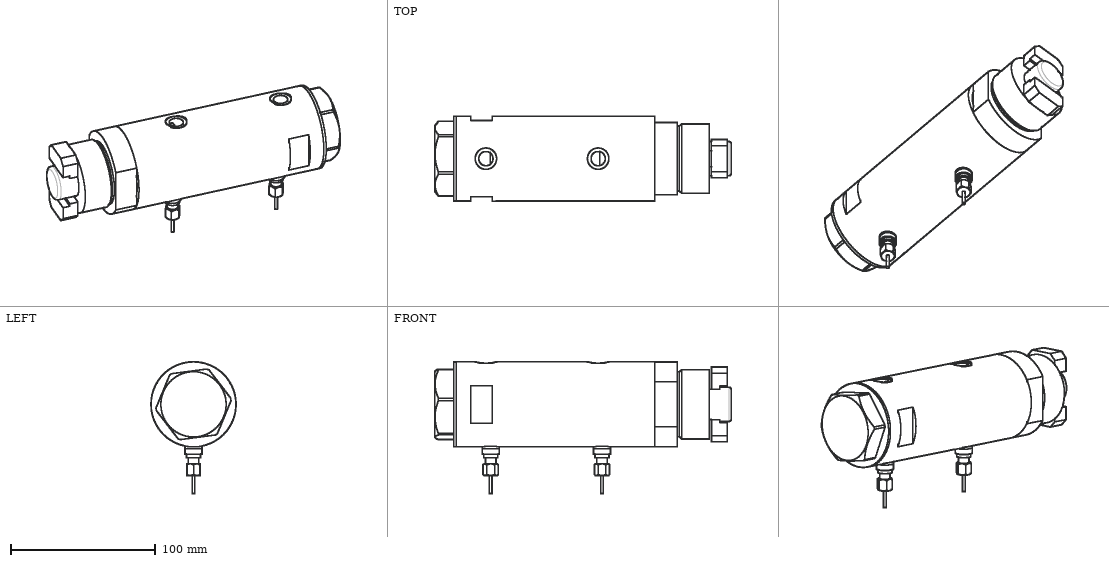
import cadquery as cq
import math

LENGTH = 205.5
BODY_DIAMETER = 59.0
BODY_RADIUS = BODY_DIAMETER / 2

FLANGE_START = 13.1
HOUSING_START = 15.0
HOUSING_END = 152.5
PLUG_SPIGOT_END = 38.6
HEAD_SPIGOT_START = 114.2
HEAD_FLANGE_END = 168.0
NOSE_END = 190.2

BORE_RADIUS = 20.0
FIRST_PORT_X = 35.5
PORT_SPACING = 77.6
PORT_RADIUS = 5.0
SPOTFACE_RADIUS = 7.4
SPOTFACE_HEIGHT = 28.3
HOUSING_FLAT_START = 25.0
HOUSING_FLAT_LENGTH = 14.8
HOUSING_FLAT_WIDTH = 53.0

HEX_ACROSS_FLATS = 46.0
HEX_CORNER_RADIUS = 26.0
HEX_FACE_RADIUS = 22.5
HEX_CHAMFER_LENGTH = 2.7
HEX_ANGLE = 7.5

HEAD_SPIGOT_RADIUS = 25.9
HEAD_FLAT_WIDTH = 50.1
NOSE_RADIUS = 24.0
UNDERCUT_RADIUS = 22.5
UNDERCUT_LENGTH = 1.5

ROD_RADIUS = 12.0
ROD_TIP_ROUND = 1.8
ROD_FLAT_WIDTH = 21.2
ROD_FLAT_HEIGHT = ROD_FLAT_WIDTH / 2
ROD_FLAT_END = 197.5
JAW_START = 191.5
JAW_END = 202.5
JAW_WIDTH = 26.5
JAW_SPAN = 52.0
JAW_TOP = JAW_SPAN / 2
JAW_CHAMFER = 4.3
JAW_RELIEF_HEIGHT = 12.5

FIRST_SENSOR_X = 38.8
SENSOR_SPACING = 77.0
TOTAL_HEIGHT = 91.2
BOSS_RADIUS = 6.0
BOSS_BOTTOM = -30.6
COLLAR_BOTTOM = -34.5
STEP_RADIUS = 5.0
STEP_BOTTOM = -37.0
NECK_RADIUS = 3.7
NUT_TOP = -41.0
NUT_BOTTOM = -49.3
NUT_ACROSS_FLATS = 9.2
NUT_CHAMFER = 0.8
CABLE_RADIUS = 1.0
CABLE_BOTTOM = BODY_RADIUS - TOTAL_HEIGHT

PORT_X = (FIRST_PORT_X, FIRST_PORT_X + PORT_SPACING)
SENSOR_X = (FIRST_SENSOR_X, FIRST_SENSOR_X + SENSOR_SPACING)


def rod_along_x(radius, start, end):
    """Cylinder on the X axis between two x positions."""
    return cq.Workplane("YZ").workplane(offset=start).circle(radius).extrude(end - start)


def post_along_z(x, radius, bottom, top):
    """Upright cylinder at x between two heights."""
    return cq.Workplane("XY", origin=(x, 0, bottom)).circle(radius).extrude(top - bottom)


def revolve_about_x(points):
    """Solid turned about X from (x, radius) points."""
    return cq.Workplane("XY").polyline(points).close().revolve(360, (0, 0, 0), (1, 0, 0))


def slab(start, end, width, bottom, top):
    """Block centred on y = 0 between two x positions and two heights."""
    corner = cq.Workplane("XY", origin=(start, 0, bottom))
    return corner.box(end - start, width, top - bottom, centered=(False, True, False))


def outside_flats(start, end, width):
    """The two side pieces that leave parallel flats at y = +-width / 2."""
    return rod_along_x(LENGTH, start, end).cut(slab(start, end, width, -LENGTH, LENGTH))


def hexagon_diameter(across_flats):
    """Diameter of the circle through a hexagon's corners."""
    return across_flats / math.cos(math.radians(30))


def make_housing():
    housing = rod_along_x(BODY_RADIUS, HOUSING_START, HOUSING_END)
    for x in SENSOR_X:
        housing = housing.union(post_along_z(x, BOSS_RADIUS, BOSS_BOTTOM, -BORE_RADIUS))
    housing = housing.cut(rod_along_x(BORE_RADIUS, HOUSING_START, HOUSING_END))
    housing = housing.cut(rod_along_x(HEAD_SPIGOT_RADIUS, HEAD_SPIGOT_START, HOUSING_END))
    for x in PORT_X:
        housing = housing.cut(post_along_z(x, PORT_RADIUS, 0, BODY_RADIUS))
        housing = housing.cut(post_along_z(x, SPOTFACE_RADIUS, SPOTFACE_HEIGHT, BODY_RADIUS))
    flat_end = HOUSING_FLAT_START + HOUSING_FLAT_LENGTH
    return housing.cut(outside_flats(HOUSING_FLAT_START, flat_end, HOUSING_FLAT_WIDTH))


def make_plug():
    hexagon = (
        cq.Workplane("YZ")
        .polygon(6, hexagon_diameter(HEX_ACROSS_FLATS))
        .extrude(FLANGE_START)
        .rotate((0, 0, 0), (1, 0, 0), -HEX_ANGLE)
    )
    chamfered_blank = revolve_about_x(
        [
            (0, 0),
            (0, HEX_FACE_RADIUS),
            (HEX_CHAMFER_LENGTH, HEX_CORNER_RADIUS),
            (FLANGE_START, HEX_CORNER_RADIUS),
            (FLANGE_START, 0),
        ]
    )
    flange = rod_along_x(BODY_RADIUS, FLANGE_START, HOUSING_START)
    spigot = rod_along_x(BORE_RADIUS, HOUSING_START, PLUG_SPIGOT_END)
    round_part = flange.union(spigot)
    return hexagon.intersect(chamfered_blank).union(round_part)


def make_head():
    undercut_end = HEAD_FLANGE_END + UNDERCUT_LENGTH
    nose_start = undercut_end + NOSE_RADIUS - UNDERCUT_RADIUS
    head = revolve_about_x(
        [
            (HEAD_SPIGOT_START, ROD_RADIUS),
            (HEAD_SPIGOT_START, HEAD_SPIGOT_RADIUS),
            (HOUSING_END, HEAD_SPIGOT_RADIUS),
            (HOUSING_END, BODY_RADIUS),
            (HEAD_FLANGE_END, BODY_RADIUS),
            (HEAD_FLANGE_END, UNDERCUT_RADIUS),
            (undercut_end, UNDERCUT_RADIUS),
            (nose_start, NOSE_RADIUS),
            (NOSE_END, NOSE_RADIUS),
            (NOSE_END, ROD_RADIUS),
        ]
    )
    return head.cut(outside_flats(HOUSING_END, HEAD_FLANGE_END, HEAD_FLAT_WIDTH))


def make_rod():
    rod = rod_along_x(ROD_RADIUS, PLUG_SPIGOT_END, LENGTH).faces(">X").edges().fillet(ROD_TIP_ROUND)
    for bottom, top in ((ROD_FLAT_HEIGHT, BODY_RADIUS), (-BODY_RADIUS, -ROD_FLAT_HEIGHT)):
        rod = rod.cut(slab(NOSE_END, ROD_FLAT_END, BODY_DIAMETER, bottom, top))
    return rod


def make_jaw(turn):
    """Jaw resting on one rod flat, turned about X to reach its side."""
    jaw = slab(JAW_START, JAW_END, JAW_WIDTH, ROD_FLAT_HEIGHT, JAW_TOP)
    jaw = jaw.faces(">Z").edges("|X").chamfer(JAW_CHAMFER)
    jaw = jaw.cut(slab(ROD_FLAT_END, JAW_END, JAW_WIDTH, ROD_FLAT_HEIGHT, JAW_RELIEF_HEIGHT))
    return jaw.rotate((0, 0, 0), (1, 0, 0), turn)


def make_sensor(x):
    nut_diameter = hexagon_diameter(NUT_ACROSS_FLATS)
    nut_height = NUT_TOP - NUT_BOTTOM
    nut = cq.Workplane("XY", origin=(x, 0, NUT_BOTTOM)).polygon(6, nut_diameter).extrude(nut_height)
    nut_blank = post_along_z(x, nut_diameter / 2, NUT_BOTTOM, NUT_TOP).edges().chamfer(NUT_CHAMFER)
    sensor = nut.intersect(nut_blank)
    sensor = sensor.union(post_along_z(x, BOSS_RADIUS, COLLAR_BOTTOM, BOSS_BOTTOM))
    sensor = sensor.union(post_along_z(x, STEP_RADIUS, STEP_BOTTOM, COLLAR_BOTTOM))
    sensor = sensor.union(post_along_z(x, NECK_RADIUS, NUT_TOP, STEP_BOTTOM))
    return sensor.union(post_along_z(x, CABLE_RADIUS, CABLE_BOTTOM, NUT_BOTTOM))


housing = make_housing()
plug = make_plug()
head = make_head()
rod = make_rod()
jaws = [make_jaw(turn) for turn in (0, 180)]
sensors = [make_sensor(x) for x in SENSOR_X]

result = cq.Compound.makeCompound(
    [
        housing.val(),
        plug.val(),
        head.val(),
        rod.val(),
        *[jaw.val() for jaw in jaws],
        *[sensor.val() for sensor in sensors],
    ]
)